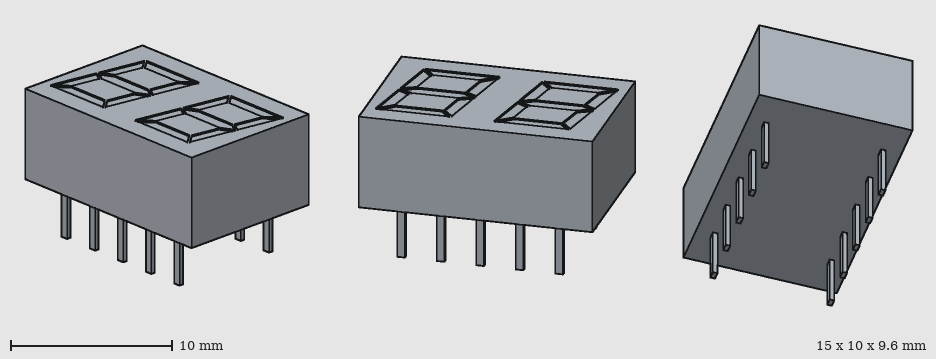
import cadquery as cq
import math


body_length = 15.02
body_width = 10.0
body_height = 6.1

pin_length = 3.5
pin_width = 0.5
pin_thickness = 0.3
pin_pitch = 2.54
pins_per_row = 5
pin_rows = 2
row_spacing = 3 * pin_pitch

digit_count = 2
digit_pitch = 3 * pin_pitch
digit_width = 4.87
digit_height = 7.0
slant = math.tan(math.radians(10))
stroke = 0.86
middle_bar_height = 0.96
segment_setback = 0.1
recess_depth = 0.1

outer_x = digit_width / 2
outer_y = digit_height / 2
tip_x = outer_x - segment_setback
tip_y = outer_y - segment_setback
shoulder_x = tip_x - stroke
shoulder_y = tip_y - stroke
inner_x = outer_x - stroke
inner_y = outer_y - stroke
bar_y = middle_bar_height / 2


def top_segment():
    return [(-tip_x, outer_y), (tip_x, outer_y), (shoulder_x, inner_y), (-shoulder_x, inner_y)]


def side_segment():
    return [
        (outer_x, tip_y),
        (outer_x, segment_setback),
        (inner_x, bar_y + segment_setback),
        (inner_x, shoulder_y),
    ]


def middle_segment():
    return [
        (-tip_x, 0),
        (-shoulder_x, bar_y),
        (shoulder_x, bar_y),
        (tip_x, 0),
        (shoulder_x, -bar_y),
        (-shoulder_x, -bar_y),
    ]


def mirrored(outline, x_sign, y_sign):
    return [(x_sign * x, y_sign * y) for x, y in outline]


def digit_segments():
    """Outlines of the seven segments of an upright digit."""
    segments = [middle_segment()]
    for y_sign in (1, -1):
        segments.append(mirrored(top_segment(), 1, y_sign))
        for x_sign in (1, -1):
            segments.append(mirrored(side_segment(), x_sign, y_sign))
    return segments


def segment_recess(outline, digit_x):
    """Cutter for one segment, slanted with its digit and sunk into the top face."""
    slanted = [(digit_x + x + slant * y, y) for x, y in outline]
    floor = cq.Workplane("XY").workplane(offset=body_height - recess_depth)
    return floor.polyline(slanted).close().extrude(recess_depth)


def centred_positions(count, pitch):
    return [(i - (count - 1) / 2) * pitch for i in range(count)]


def housing():
    body = cq.Workplane("XY").box(body_length, body_width, body_height, centered=(True, True, False))
    for digit_x in centred_positions(digit_count, digit_pitch):
        for outline in digit_segments():
            body = body.cut(segment_recess(outline, digit_x))
    return body


def pins():
    return (
        cq.Workplane("XY")
        .rarray(pin_pitch, row_spacing, pins_per_row, pin_rows)
        .rect(pin_width, pin_thickness)
        .extrude(-pin_length)
    )


result = housing().union(pins())